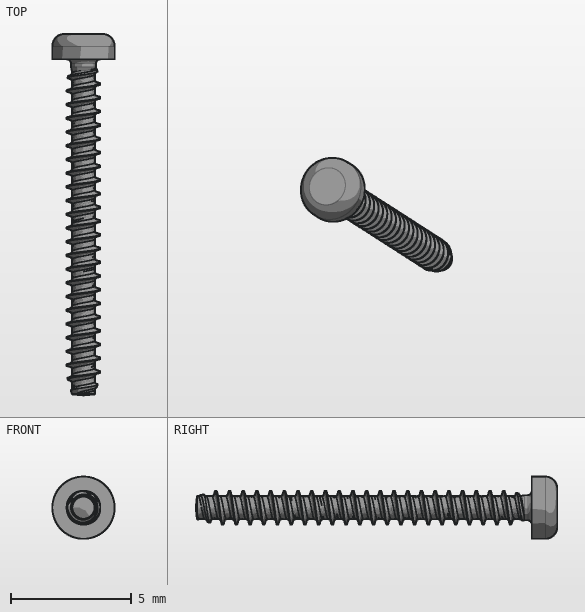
import cadquery as cq
import math


total_length = 15.05
head_radius = 2.6 / 2
head_height = 1.07
head_round = 0.51

neck_radius = 0.53
neck_fillet = 0.17
neck_end = 0.3
neck_taper_length = 0.36
neck_taper_end_radius = 0.45

tip_chamfer = 0.03
tip_cone_height = 0.05

thread_radius = 0.7
core_radius = 0.489
twenty_pitches = 11.41
pitch = twenty_pitches / 20
thread_turns = 25
side_steps = 8
crest_height = 0.12
crest_half_width = 0.018
flank_angle = math.radians(14)
root_fillet = 0.12

run_in_start = 0.18
run_in_length = 0.72
run_out_length = 0.78
envelope_clearance = 0.05

shank_length = total_length - head_height
tip_edge = shank_length - tip_cone_height

fillet_rise = root_fillet * (1 - math.sin(flank_angle))
fillet_run = root_fillet * math.cos(flank_angle)
flank_foot_radius = core_radius + fillet_rise
flank_foot = crest_half_width + (thread_radius - flank_foot_radius) * math.tan(flank_angle)
root_edge = flank_foot + fillet_run


def ridge_radius(offset):
    """Radius of the thread surface at an axial offset from the middle of the crest."""
    offset = abs(offset)
    if offset <= crest_half_width:
        return thread_radius
    if offset <= flank_foot:
        return thread_radius - (offset - crest_half_width) / math.tan(flank_angle)
    if offset <= root_edge:
        drop = math.sqrt(root_fillet**2 - (root_edge - offset) ** 2)
        return core_radius + root_fillet - drop
    return core_radius


def section_point(offset):
    """Point of the cross-section that holds the profile point at an axial offset."""
    angle = -2 * math.pi * offset / pitch
    radius = ridge_radius(offset)
    return (radius * math.cos(angle), radius * math.sin(angle))


def make_threaded_rod():
    """Core and thread in one, as a cross-section that turns once per pitch."""
    offsets = [
        crest_half_width + (root_edge - crest_half_width) * step / side_steps
        for step in range(side_steps + 1)
    ]
    falling_side = [section_point(offset) for offset in offsets]
    rising_side = [section_point(-offset) for offset in reversed(offsets)]
    section = (
        cq.Workplane("XY")
        .moveTo(*rising_side[-1])
        .threePointArc(section_point(0), falling_side[0])
        .spline(falling_side[1:], includeCurrent=True)
        .threePointArc(section_point(pitch / 2), rising_side[0])
        .spline(rising_side[1:], includeCurrent=True)
        .close()
    )
    rod_length = thread_turns * pitch
    rod = section.twistExtrude(rod_length, 360 * thread_turns)
    return rod.translate((0, 0, crest_height - rod_length))


def make_head_and_neck():
    """Pan head with a filleted neck."""
    return (
        cq.Workplane("XZ")
        .moveTo(0, head_height)
        .lineTo(head_radius - head_round, head_height)
        .radiusArc((head_radius, head_height - head_round), head_round)
        .lineTo(head_radius, 0)
        .lineTo(neck_radius + neck_fillet, 0)
        .radiusArc((neck_radius, -neck_fillet), -neck_fillet)
        .lineTo(neck_radius, -neck_end)
        .lineTo(neck_taper_end_radius, -neck_end - neck_taper_length)
        .lineTo(0, -neck_end - neck_taper_length)
        .close()
        .revolve(360, (0, 0, 0), (0, 1, 0))
    )


def make_thread_envelope():
    """Round bar with tapered ends that trims the thread and forms the tip."""
    wide = thread_radius + envelope_clearance
    rise = thread_radius - core_radius
    run_in_extra = envelope_clearance * run_in_length / rise
    run_out_extra = envelope_clearance * run_out_length / rise
    return (
        cq.Workplane("XZ")
        .polyline([
            (0, -run_in_start),
            (core_radius, -run_in_start),
            (wide, -run_in_start - run_in_length - run_in_extra),
            (wide, run_out_length + run_out_extra + tip_chamfer - tip_edge),
            (core_radius, tip_chamfer - tip_edge),
            (core_radius - tip_chamfer, -tip_edge),
            (0, -shank_length),
        ])
        .close()
        .revolve(360, (0, 0, 0), (0, 1, 0))
    )


threaded_rod = make_threaded_rod().intersect(make_thread_envelope(), clean=False)
screw = threaded_rod.union(make_head_and_neck(), clean=False)

result = screw.rotate((0, 0, 0), (1, 0, 0), -90)